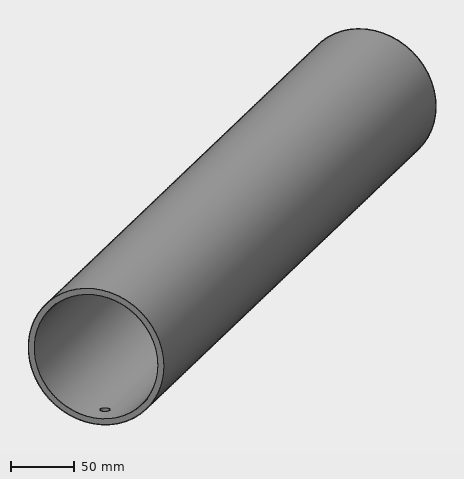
import cadquery as cq

length = 600.0
outer_diameter = 114.5
bore_diameter = 104.5
pin_hole_diameter = 8.0
pin_hole_from_end = 20.0

tube = (
    cq.Workplane("XZ")
    .circle(outer_diameter / 2)
    .circle(bore_diameter / 2)
    .extrude(length)
    .translate((0, length / 2, 0))
)

pin_hole = (
    cq.Workplane("XY")
    .center(0, -length / 2 + pin_hole_from_end)
    .circle(pin_hole_diameter / 2)
    .extrude(-outer_diameter)
)

result = tube.cut(pin_hole)